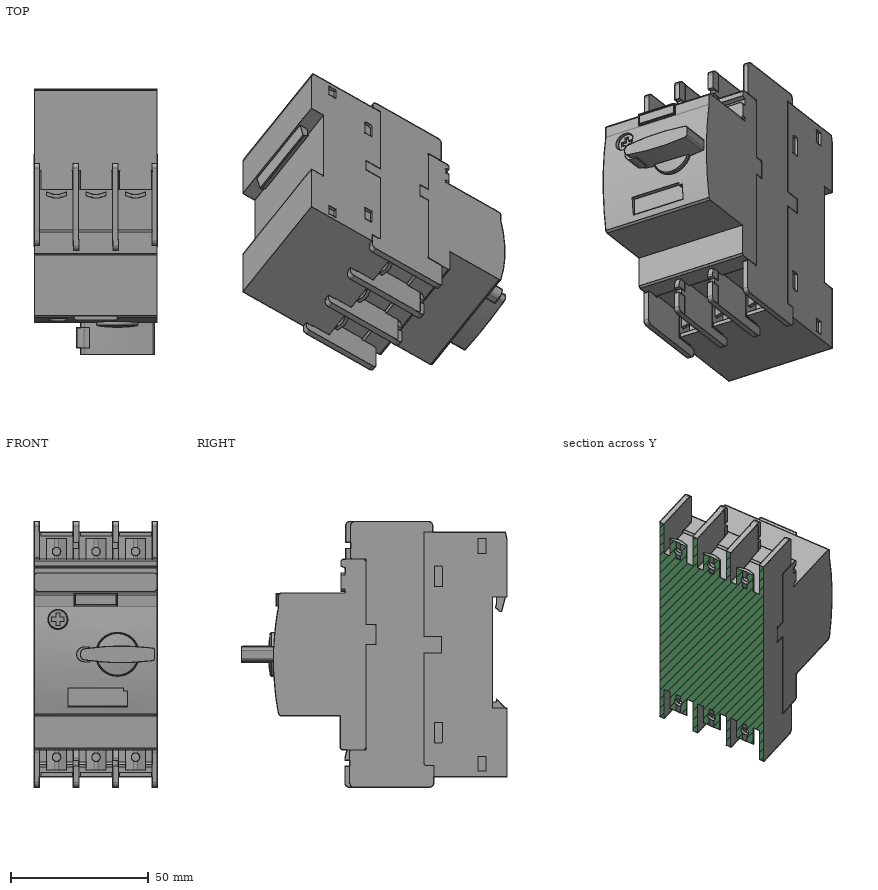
import cadquery as cq


width = 44.95
height = 97.0
total_depth = 96.9
half_width = width / 2
half_height = height / 2

seam_step = 0.1
rear_half = half_width - seam_step
core_half = half_width - 1.0
buried = 1.0

rear_top = 44.6
rear_bottom = -44.65
rear_front = 36.6
rail_top = 20.9
rail_bottom = -19.6
rail_depth = 5.3
back_bevel_depth = 0.6
back_bevel_height = 2.7
upper_hook_half = 14.0
lower_hook_half = half_width - 2.2

plate_rear = 30.3
plate_thickness = 1.95
barrier_thickness = 2.1
pole_pitch = 14.4
pole_offset = 0.1
tip_shift = 0.15
barrier_fillet = 1.7
top_barrier_back = 27.1
top_barrier_front = 57.1
top_tip_front = 58.9
bottom_barrier_back = 26.7
bottom_barrier_front = 57.4
bottom_tip_front = 59.2
tip_gap_low = 38.65
tip_gap_high = 40.8
tip_slope_depth = 0.8
tip_slope_height = 2.9

cover_back = 51.4
cover_top = 34.75
cover_bottom = -34.85
cover_lower_front = 60.9
cover_upper_front = 60.6
groove_floor = 59.1
cover_bevel = 0.8
cover_tab_back = 47.8
cover_tab_low = 3.6
cover_tab_high = 10.8
nose_half = 22.4
nose_edge = 83.4
nose_crown = 85.2
band_bottom = 17.5
strip_top = 29.7
strip_bottom = 23.0

floor_drop = 0.75
lip_height = 1.5
lip_side_gap = 0.4
bay_back = 29.7
clamp_half = 3.65
clamp_flat_half = 0.72
clamp_thickness = 1.3
clamp_side_depth = 37.6
clamp_bulge = 0.9
clamp_end = 42.2
clamp_hole_height = 37.5
clamp_hole_radius = 1.55

knob_x = 7.9
knob_radius = 8.0
knob_rim = 86.4
knob_crown = 87.0
knob_bevel = 0.4
handle_left = -5.5
handle_right = 21.4
handle_half = 3.0
handle_left_half = 1.8
handle_right_half = 2.2
handle_left_fillet = 1.6
handle_right_fillet = 0.8
pin_x = -4.25
pin_radius = 2.7
pin_right = -2.2
pin_back = 87.0
pin_front = 94.4

screw_x = -13.8
screw_z = 12.8
screw_radius = 3.8
screw_floor_radius = 3.4
screw_floor = 82.7
cross_length = 4.5
cross_width = 1.5
cross_depth = 1.0


def block(x0, x1, d0, d1, z0, z1):
    """Box between two widths, two depths and two heights."""
    return cq.Workplane("XY").box(x1 - x0, d1 - d0, z1 - z0, centered=False).translate((x0, -d1, z0))


def side_prism(points, x0, x1):
    """Prism across X of a closed (depth, height) outline."""
    outline = [(-d, z) for d, z in points]
    return cq.Workplane("YZ").workplane(offset=x0).polyline(outline).close().extrude(x1 - x0)


def front_plane(depth):
    """Workplane in X and Z at a depth; extrusion runs forward."""
    return cq.Workplane("XZ").workplane(offset=depth)


def rear_body():
    outline = [
        (back_bevel_depth, rear_top), (rear_front, rear_top), (rear_front, rear_bottom), (0, rear_bottom),
        (0, rail_bottom), (rail_depth, rail_bottom), (rail_depth, rail_top), (0, rail_top),
        (0, rear_top - back_bevel_height),
    ]
    body = side_prism(outline, -rear_half, rear_half)
    overlap = 0.5
    hook_back = 0.6
    upper_hook_tip, upper_hook_barb = 15.6, 17.1
    upper_hook_front = 3.9
    upper_hook = [
        (hook_back, rail_top + overlap), (hook_back, rail_top), (2.0, upper_hook_tip), (2.6, upper_hook_tip),
        (4.3, upper_hook_barb), (upper_hook_front, 18.5), (upper_hook_front, rail_top + overlap),
    ]
    lower_hook_tip, lower_hook_front_top = -16.3, -17.3
    lower_hook = [
        (hook_back, rail_bottom - overlap), (hook_back, rail_bottom), (3.8, lower_hook_tip),
        (4.0, lower_hook_front_top), (rail_depth + overlap, lower_hook_front_top),
        (rail_depth + overlap, rail_bottom - overlap),
    ]
    for hook, hook_half in ((upper_hook, upper_hook_half), (lower_hook, lower_hook_half)):
        body = body.union(side_prism(hook, -hook_half, hook_half))
    return body


def side_pockets():
    """Shallow latch pockets in both sides of the rear body."""
    pocket_depth = 1.0
    end_radius = 0.7
    square_pockets = [(7.65, 10.7, 36.8, 42.2), (7.65, 10.7, -42.6, -37.2)]
    round_pockets = [(23.55, 26.55, 24.8, 32.3, ">Z"), (23.55, 26.55, -32.4, -24.9, "<Z")]
    cutters = cq.Workplane("XY")
    for x0 in (-rear_half, rear_half - pocket_depth):
        x1 = x0 + pocket_depth
        for d0, d1, z0, z1 in square_pockets:
            cutters = cutters.add(block(x0, x1, d0, d1, z0, z1))
        for d0, d1, z0, z1, end in round_pockets:
            pocket = block(x0, x1, d0, d1, z0, z1).faces(end).edges("|X").fillet(end_radius)
            cutters = cutters.add(pocket)
    return cutters.combine()


def side_plate(x0):
    tab_rear = 23.9
    tab_low, tab_high = 0.5, 6.5
    foot_top = -40.5
    foot_radius = 0.8
    inner_corner_fillet = 0.8
    outline = [
        (top_barrier_back, half_height), (top_barrier_front, half_height), (top_barrier_front, cover_top),
        (cover_back, cover_top), (cover_back, cover_tab_high), (cover_tab_back, cover_tab_high),
        (cover_tab_back, cover_tab_low), (cover_back, cover_tab_low), (cover_back, cover_bottom),
        (bottom_barrier_front, cover_bottom), (bottom_barrier_front, -half_height),
        (bottom_barrier_back, -half_height), (bottom_barrier_back, foot_top), (plate_rear, foot_top),
        (plate_rear, tab_low), (tab_rear, tab_low), (tab_rear, tab_high), (plate_rear, tab_high),
        (plate_rear, rear_top), (top_barrier_back, rear_top),
    ]
    plate = side_prism(outline, x0, x0 + plate_thickness)
    outer_corners = plate.edges("|X").edges(">Z or <Z")
    plate = outer_corners.fillet(barrier_fillet)
    for depth, z in ((top_barrier_front, cover_top), (bottom_barrier_front, cover_bottom)):
        inner_corner = cq.selectors.NearestToPointSelector((x0 + plate_thickness / 2, -depth, z))
        plate = plate.edges("|X").edges(inner_corner).fillet(inner_corner_fillet)
    foot_corner = cq.selectors.NearestToPointSelector((x0 + plate_thickness / 2, -plate_rear, foot_top))
    return plate.edges("|X").edges(foot_corner).fillet(foot_radius)


def end_barrier(centre, sign, back, front, tip_front):
    """Inner phase barrier at the upper (sign 1) or lower (sign -1) end, with a notched tip."""
    half = barrier_thickness / 2
    root = 33.0
    tip_overlap = 0.5
    web = block(-half, half, back, front, root, half_height)
    web = web.edges("|X and >Z").fillet(barrier_fillet)
    tip_root = front - barrier_fillet - tip_overlap
    outer_tip = block(-half, half, tip_root, tip_front, tip_gap_high, half_height)
    outer_tip = outer_tip.edges("|X and >Z and <Y").fillet(barrier_fillet)
    inner_tip = block(-half, half, tip_root, tip_front, root, tip_gap_low)
    tips = outer_tip.union(inner_tip)
    if sign < 0:
        slope = [
            (tip_front - tip_slope_depth, -cover_bottom), (tip_front, -cover_bottom + tip_slope_height),
            (tip_front, root), (tip_front - tip_slope_depth, root),
        ]
        tips = tips.cut(side_prism(slope, -half, half))
    barrier = web.union(tips.translate((tip_shift, 0, 0)))
    if sign < 0:
        barrier = barrier.mirror("XY")
    return barrier.translate((centre, 0, 0))


def bay_cutter(centre, sign, end):
    """Space beneath the lip of the rear body and the gaps beside the lip."""
    half = (pole_pitch - barrier_thickness) / 2
    lip_base = end - lip_height
    floor = cover_top - floor_drop
    cutter = block(-half, half, bay_back, rear_front, floor, lip_base)
    for x0 in (-half, half - lip_side_gap):
        gap = block(x0, x0 + lip_side_gap, bay_back, rear_front, lip_base, end)
        cutter = cutter.union(gap)
    if sign < 0:
        cutter = cutter.mirror("XY")
    return cutter.translate((centre, 0, 0))


def clamp(centre, sign):
    """Bent clamp plate standing on the bay floor, with a screw hole."""
    back_ridge = clamp_side_depth + clamp_bulge
    outline = [
        (-clamp_half, -clamp_side_depth), (-clamp_flat_half, -back_ridge), (clamp_flat_half, -back_ridge),
        (clamp_half, -clamp_side_depth), (clamp_half, -clamp_side_depth - clamp_thickness),
        (clamp_flat_half, -back_ridge - clamp_thickness), (-clamp_flat_half, -back_ridge - clamp_thickness),
        (-clamp_half, -clamp_side_depth - clamp_thickness),
    ]
    clamp_reach = back_ridge + clamp_thickness - rear_front
    foot = 0.5
    base = cover_top - floor_drop - foot
    plate = cq.Workplane("XY").workplane(offset=base).polyline(outline).close().extrude(clamp_end - base)
    hole = front_plane(rear_front).center(0, clamp_hole_height).circle(clamp_hole_radius)
    hole = hole.extrude(clamp_reach)
    plate = plate.cut(hole)
    if sign < 0:
        plate = plate.mirror("XY")
    return plate.translate((centre, 0, 0))


def lower_bay_rib():
    """Ridge across the back wall of the lower bays."""
    wall = bay_back
    ridge = 0.8
    overlap = 0.2
    top, bend, bottom = -39.3, -40.2, -41.0
    outline = [
        (wall - overlap, top), (wall, top), (wall + ridge, bend),
        (wall + ridge, bottom), (wall - overlap, bottom),
    ]
    return side_prism(outline, -core_half, core_half)


def cover():
    groove_outer_top = 32.2
    groove_inner_top = 31.5
    nose_top_bevel_depth = 0.8
    nose_top_bevel_height = 0.8
    nose_bottom_bevel_depth = 0.8
    nose_bottom_bevel_top = -21.7
    front_bevel = 0.7
    tab_fillet = 0.5
    points = [
        (cover_back, cover_top - cover_bevel), (cover_back + cover_bevel, cover_top),
        (cover_upper_front - front_bevel, cover_top), (cover_upper_front, cover_top - front_bevel),
        (cover_upper_front, groove_outer_top), (groove_floor, groove_inner_top), (groove_floor, nose_half),
        (nose_edge - nose_top_bevel_depth, nose_half), (nose_edge, nose_half - nose_top_bevel_height),
        (nose_edge, band_bottom),
    ]
    outline = cq.Workplane("YZ").workplane(offset=-rear_half).polyline([(-d, z) for d, z in points])
    crown_height = (band_bottom + nose_bottom_bevel_top) / 2
    outline = outline.threePointArc((-nose_crown, crown_height), (-nose_edge, nose_bottom_bevel_top))
    for d, z in [
        (nose_edge - nose_bottom_bevel_depth, -nose_half), (cover_lower_front, -nose_half),
        (cover_lower_front, cover_bottom + front_bevel), (cover_lower_front - front_bevel, cover_bottom),
        (cover_back + cover_bevel, cover_bottom), (cover_back, cover_bottom + cover_bevel),
    ]:
        outline = outline.lineTo(-d, z)
    body = outline.close().extrude(2 * rear_half)

    tab = block(-rear_half, rear_half, cover_tab_back, cover_back, cover_tab_low, cover_tab_high)
    tab = tab.edges("|X and >Y").fillet(tab_fillet)
    strip = block(-rear_half, rear_half, groove_floor, cover_upper_front, strip_bottom, strip_top)
    strip = strip.edges("|Y").chamfer(cover_bevel)
    return body.union(tab).union(strip)


def name_plate():
    """Blank framed name plate on the flat band of the nose."""
    half = 7.9
    low, high = 17.7, 22.15
    front = 84.25
    bevel = 0.4
    frame = 0.45
    recess = 0.3
    plate = block(-half, half, nose_edge - buried, front, low, high)
    plate = plate.faces("<Y").edges("|Z").chamfer(bevel)
    return plate.cut(block(-half + frame, half - frame, front - recess, front, low + frame, high - frame))


def label_window():
    """Pocket for the type label, with one notched upper corner."""
    left, right = -10.1, 11.5
    low, high = -18.75, -12.25
    notch_x, notch_z = 10.1, -13.3
    floor = 83.1
    sill_drop = 1.1
    outline = [(left, low), (right, low), (right, notch_z), (notch_x, notch_z), (notch_x, high), (left, high)]
    window = front_plane(floor).polyline(outline).close().extrude(nose_crown - floor)
    sill = side_prism([(floor, low), (nose_crown, low - sill_drop), (nose_crown, low)], left, right)
    return window.union(sill)


def adjusting_screw():
    """Tapered recess with a cross slot in its floor."""
    recess = front_plane(screw_floor).center(screw_x, screw_z).circle(screw_floor_radius)
    recess = recess.workplane(offset=nose_crown - screw_floor).circle(screw_radius).loft()
    slot_plane = front_plane(screw_floor - cross_depth).center(screw_x, screw_z)
    for size in ((cross_length, cross_width), (cross_width, cross_length)):
        recess = recess.union(slot_plane.rect(*size).extrude(cross_depth))
    return recess


def knob():
    base = nose_edge - buried
    crown_fall = 0.16
    handle_base = nose_crown - buried
    dome = (
        cq.Workplane("XY")
        .moveTo(0, -base)
        .lineTo(knob_radius, -base)
        .lineTo(knob_radius, -knob_rim + knob_bevel)
        .lineTo(knob_radius - knob_bevel, -knob_rim)
        .threePointArc((knob_radius / 2, -knob_crown + crown_fall), (0, -knob_crown))
        .close()
        .revolve(360, (0, 0, 0), (0, 1, 0))
        .translate((knob_x, 0, 0))
    )
    handle = (
        front_plane(handle_base)
        .moveTo(handle_left, handle_left_half)
        .threePointArc((knob_x, handle_half), (handle_right, handle_right_half))
        .lineTo(handle_right, -handle_right_half)
        .threePointArc((knob_x, -handle_half), (handle_left, -handle_left_half))
        .close()
        .extrude(total_depth - handle_base)
    )
    handle = handle.edges("|Y and <X").fillet(handle_left_fillet)
    handle = handle.edges("|Y and >X").fillet(handle_right_fillet)
    pin = (
        front_plane(pin_back)
        .moveTo(pin_right, pin_radius)
        .lineTo(pin_x, pin_radius)
        .threePointArc((pin_x - pin_radius, 0), (pin_x, -pin_radius))
        .lineTo(pin_right, -pin_radius)
        .close()
        .extrude(pin_front - pin_back)
    )
    return dome.union(handle).union(pin)


pole_centres = [pole_offset - pole_pitch, pole_offset, pole_offset + pole_pitch]
barrier_centres = [-pole_pitch / 2 - tip_shift / 2, pole_pitch / 2 - tip_shift / 2]

result = rear_body().cut(side_pockets())
result = result.union(
    block(
        -core_half, core_half, plate_rear, cover_back + buried,
        cover_bottom + floor_drop, cover_top - floor_drop,
    )
)
for sign, end in ((1, rear_top), (-1, -rear_bottom)):
    for centre in pole_centres:
        result = result.cut(bay_cutter(centre, sign, end))
for x0 in (-half_width, half_width - plate_thickness):
    result = result.union(side_plate(x0))
for centre in barrier_centres:
    result = result.union(end_barrier(centre, 1, top_barrier_back, top_barrier_front, top_tip_front))
    result = result.union(
        end_barrier(centre, -1, bottom_barrier_back, bottom_barrier_front, bottom_tip_front)
    )
result = result.union(lower_bay_rib())
for sign in (1, -1):
    for centre in pole_centres:
        result = result.union(clamp(centre, sign))
result = result.union(cover()).union(name_plate())
result = result.cut(label_window()).cut(adjusting_screw())
result = result.union(knob())